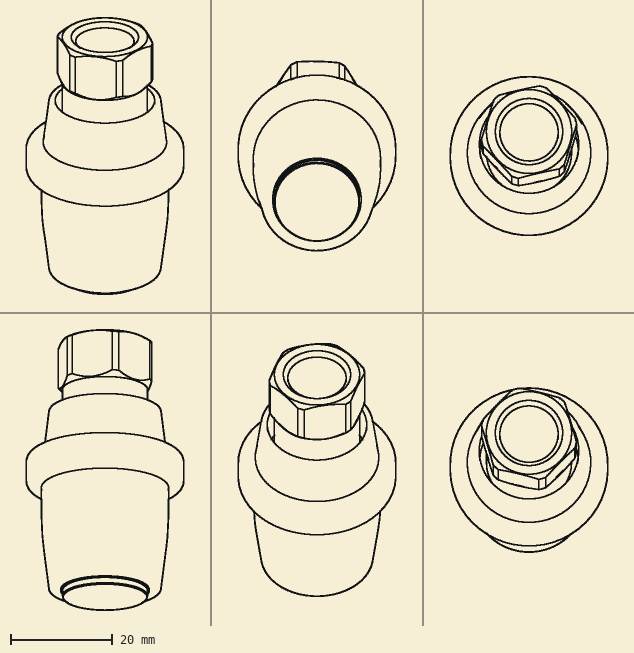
import cadquery as cq
import math

total_height = 52.5
body_bottom = 1.6
flange_bottom = 22.6
flange_top = 29.35
collar_top = 38.55
hex_bottom = 42.85

stem_diameter = 16.7
stem_end_relief = 0.1
stem_end_relief_height = 0.25
ring_diameter = 17.4
ring_height = 0.2

body_diameter = 25.0
taper_angle = 7.0
taper_slope = math.tan(math.radians(taper_angle))
taper_blend_radius = 47.25
end_diameter = 22.0
flange_diameter = 31.0
flange_rounding_diameter = 3.0
collar_base_diameter = end_diameter + 2 * taper_slope * (collar_top - flange_top)
rim_fillet = 0.3

recess_mouth_diameter = 19.55
recess_shoulder_diameter = 19.3
recess_floor = flange_top

hex_across_flats = 17.0
hex_corner_diameter = 18.9
hex_chamfer_diameter = 16.75
hex_chamfer_angle = 30.0

bore_diameter = 11.45
bore_mouth_diameter = 13.25
bore_depth = 10.5
bore_floor_fillet = 0.35


def cylinder(diameter, bottom, top):
    return cq.Workplane("XY").workplane(offset=bottom).circle(diameter / 2).extrude(top - bottom)


def make_body():
    """Lower body: straight at the flange, then curving smoothly into a taper."""
    taper_corner = body_bottom + (body_diameter - end_diameter) / 2 / taper_slope
    blend_length = taper_blend_radius * math.tan(math.radians(taper_angle / 2))
    blend_top = taper_corner + blend_length
    blend_bottom = taper_corner - blend_length * math.cos(math.radians(taper_angle))
    blend_bottom_radius = end_diameter / 2 + (blend_bottom - body_bottom) * taper_slope
    body = (
        cq.Workplane("XZ")
        .moveTo(0, flange_bottom)
        .lineTo(body_diameter / 2, flange_bottom)
        .lineTo(body_diameter / 2, blend_top)
        .tangentArcPoint((blend_bottom_radius, blend_bottom), relative=False)
        .lineTo(end_diameter / 2, body_bottom)
        .lineTo(0, body_bottom)
        .close()
        .revolve(360, (0, 0, 0), (0, 1, 0))
    )
    return body.faces("<Z").edges().fillet(rim_fillet)


def make_flange():
    flange = cylinder(flange_diameter, flange_bottom, flange_top)
    return flange.faces("<Z or >Z").edges().fillet(flange_rounding_diameter / 2)


def make_collar():
    """Tapered collar with a rounded rim and a recess that narrows down to the stem."""
    collar = (
        cq.Workplane("XY")
        .workplane(offset=flange_top)
        .circle(collar_base_diameter / 2)
        .workplane(offset=collar_top - flange_top)
        .circle(end_diameter / 2)
        .loft(ruled=True)
    )
    collar = collar.faces(">Z").edges().fillet(rim_fillet)
    funnel_height = (recess_shoulder_diameter - stem_diameter) / 2
    recess = (
        cq.Workplane("XZ")
        .moveTo(0, collar_top)
        .lineTo(recess_mouth_diameter / 2, collar_top)
        .lineTo(recess_shoulder_diameter / 2, recess_floor + funnel_height)
        .lineTo(stem_diameter / 2, recess_floor)
        .lineTo(0, recess_floor)
        .close()
        .revolve(360, (0, 0, 0), (0, 1, 0))
    )
    return collar.cut(recess)


def make_hex_head():
    """Hexagon with flats facing +X and -X, its corners turned round and chamfered at both ends."""
    hex_corner_to_corner = hex_across_flats / math.cos(math.radians(30))
    hexagon = (
        cq.Workplane("XY")
        .workplane(offset=hex_bottom)
        .transformed(rotate=(0, 0, 30))
        .polygon(6, hex_corner_to_corner)
        .extrude(total_height - hex_bottom)
    )
    corner_radius = hex_corner_diameter / 2
    chamfer_radius = hex_chamfer_diameter / 2
    top_chamfer = (corner_radius - chamfer_radius) * math.tan(math.radians(hex_chamfer_angle))
    bottom_chamfer = corner_radius - chamfer_radius
    turned_blank = (
        cq.Workplane("XZ")
        .moveTo(0, hex_bottom)
        .lineTo(chamfer_radius, hex_bottom)
        .lineTo(corner_radius, hex_bottom + bottom_chamfer)
        .lineTo(corner_radius, total_height - top_chamfer)
        .lineTo(chamfer_radius, total_height)
        .lineTo(0, total_height)
        .close()
        .revolve(360, (0, 0, 0), (0, 1, 0))
    )
    return hexagon.intersect(turned_blank)


def make_bore():
    """Blind bore with a 45 degree mouth chamfer and a rounded floor edge."""
    bore = cylinder(bore_diameter, total_height - bore_depth, total_height)
    bore = bore.faces("<Z").edges().fillet(bore_floor_fillet)
    mouth_depth = (bore_mouth_diameter - bore_diameter) / 2
    mouth = (
        cq.Workplane("XY")
        .workplane(offset=total_height)
        .circle(bore_mouth_diameter / 2)
        .workplane(offset=-mouth_depth)
        .circle(bore_diameter / 2)
        .loft(ruled=True)
    )
    return bore.union(mouth)


def make_stem():
    """Straight stem with a slight steep chamfer around its lower end."""
    stem = cylinder(stem_diameter, 0, hex_bottom)
    return stem.faces("<Z").chamfer(stem_end_relief_height, stem_end_relief)


bottom_ring = cylinder(ring_diameter, body_bottom - ring_height, body_bottom)

result = (
    make_body()
    .union(make_flange())
    .union(make_collar())
    .union(make_stem())
    .union(bottom_ring)
    .union(make_hex_head())
    .cut(make_bore())
)